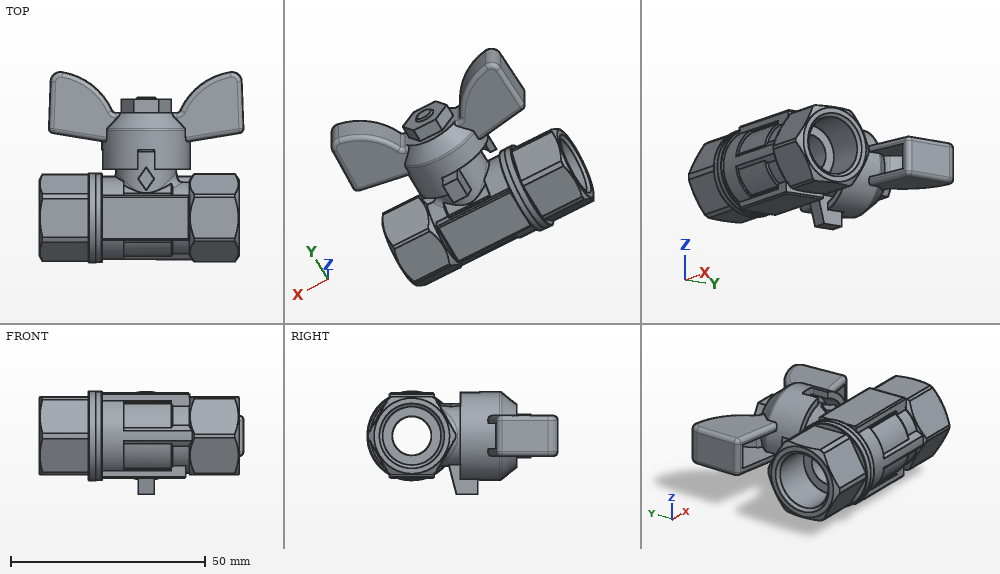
import cadquery as cq
import math

body_left = -27.45
body_right = 23.95
collar_left = -14.85
collar_split = -13.0
collar_right = -11.35
hex_right_start = 11.0

hex_flats = 20.05
left_corner_flats = 22.35
right_corner_flats = 22.7
hex_face_radius = 9.7
left_chamfer = 0.8
right_chamfer = 1.15
right_root_chamfer = 1.35

collar_radius = 11.5
right_band_radius = 11.45
collar_edge_chamfer = 0.15

barrel_radius = 10.7
window_radius = 10.1
groove_radius = 9.6
window_left = -5.8
window_right = 6.4
groove_left = 6.8
window_half_height = 8.65
rib_half_width = 1.2
rib_wall_angle = 45.0
rib_end = 12.25

pad_half_width = 5.8
pad_top = 11.1
pad_bottom = -10.9
pad_top_end = 11.2
pad_bottom_end = 10.2
pad_edge_chamfer = 0.4

bore_radius = 5.0
thread_radius = 7.5
thread_mouth_radius = 8.35
thread_depth = 11.55

boss_radius = 7.75
boss_top = 16.95
boss_fillet = 2.1
stop_half_width = 2.1
stop_tip = -15.0
stop_tip_y = 11.45
stop_root_y = 9.55
mark_low = 7.1
mark_high = 13.0
mark_half_width = 2.05
mark_face = 8.3

hub_radius = 11.4
hub_bottom = 12.5
hub_cone_start = 22.85
hub_shoulder_fillet = 0.9
hub_top = 27.05
hub_top_radius = 8.05
skirt_inner_radius = 9.55
skirt_cut_top = 17.5
skirt_slot_half_width = 2.15
skirt_slot_fillet = 0.4

wing_half_thickness = 5.25
wing_wall = 1.95
wing_fillet = 1.25
wing_tip_fillet = 1.3
wing_root_x = -5.25
wing_root_y = 18.7
wing_low_tip = (-25.1, 21.95)
wing_peak = (-24.5, 37.75)
wing_crest = (-15.75, 35.4)
wing_valley_x = -8.5
wing_peak_fillet = 2.6
wing_valley_fillet = 1.05

nut_across_corners = 12.9
nut_top = 30.55
stem_radius = 2.55
stem_top = 31.1
stem_chamfer = 0.45


def x_cylinder(radius, start, end):
    """Solid cylinder on the flow axis."""
    return cq.Workplane("YZ").workplane(offset=start).circle(radius).extrude(end - start)


def y_cylinder(radius, start, end):
    """Solid cylinder on the stem axis."""
    return cq.Workplane("XZ").workplane(offset=-start).circle(radius).extrude(start - end)


def block(x_range, y_range, z_range):
    """Box given by its limits along each axis."""
    sizes = [high - low for low, high in (x_range, y_range, z_range)]
    corner = (x_range[0], y_range[0], z_range[0])
    return cq.Workplane("XY").box(*sizes, centered=False).translate(corner)


def hex_end(face, root, corner_flats, face_chamfer, root_chamfer):
    """Hexagon with flattened corners, its ends trimmed by cones; face is the open end."""
    length = abs(root - face)
    to_corners = 1 / math.cos(math.radians(30))
    base = cq.Workplane("YZ").workplane(offset=min(face, root))
    hexagon = base.polygon(6, hex_flats * to_corners).extrude(length)
    corner_trim = base.transformed(rotate=(0, 0, 30)).polygon(6, corner_flats * to_corners).extrude(length)
    inward = math.copysign(1, root - face)
    rim_radius = corner_flats / 2
    cone_rise = rim_radius - hex_face_radius
    root_radius = rim_radius - (cone_rise if root_chamfer else 0)
    profile = [
        (face, 0),
        (face, hex_face_radius),
        (face + inward * face_chamfer, rim_radius),
        (root - inward * root_chamfer, rim_radius),
        (root, root_radius),
        (root, 0),
    ]
    if not root_chamfer:
        del profile[3]
    envelope = cq.Workplane("XY").polyline(profile).close().revolve(360, (0, 0, 0), (1, 0, 0))
    return hexagon.intersect(corner_trim).intersect(envelope)


def collar():
    """Two bands side by side between the left hexagon and the barrel."""
    left_band = x_cylinder(collar_radius, collar_left, collar_split).faces("<X").chamfer(collar_edge_chamfer)
    right_band = x_cylinder(right_band_radius, collar_split, collar_right).faces(">X").chamfer(collar_edge_chamfer)
    return left_band.union(right_band)


def side_relief():
    """Shallow window and deeper groove around the -Y side, split by the drafted rib."""
    floor = (
        cq.Workplane("XY")
        .moveTo(window_left, window_radius)
        .lineTo(window_right, window_radius)
        .lineTo(groove_left, groove_radius)
        .lineTo(hex_right_start, groove_radius)
        .lineTo(hex_right_start, collar_radius)
        .lineTo(window_left, collar_radius)
        .close()
        .revolve(360, (0, 0, 0), (1, 0, 0))
    )
    side = (-collar_radius, -pad_half_width)
    window = block((window_left, groove_left), side, (-window_half_height, window_half_height))
    groove_side = (-collar_radius, 0)
    groove = block((window_right, hex_right_start), groove_side, (-collar_radius, collar_radius))
    return floor.intersect(window.union(groove)).cut(side_rib())


def side_rib():
    """Rib along the -Y side, flush with the barrel, with sloped walls."""
    depth = barrel_radius - boss_radius
    root_half_width = rib_half_width + depth * math.tan(math.radians(rib_wall_angle))
    section = [
        (-barrel_radius, -rib_half_width),
        (-barrel_radius, rib_half_width),
        (-boss_radius, root_half_width),
        (-boss_radius, -root_half_width),
    ]
    start = cq.Workplane("YZ").workplane(offset=window_left)
    bar = start.polyline(section).close().extrude(rib_end - window_left)
    return bar.intersect(x_cylinder(barrel_radius, window_left, rib_end))


def barrel():
    """Middle of the body with the stem boss, side windows, ribs and the two flat pads."""
    shape = x_cylinder(barrel_radius, collar_right, hex_right_start)
    relief = side_relief()
    rib = side_rib()
    shape = shape.cut(relief).cut(relief.mirror("XZ"))
    shape = shape.union(rib).union(rib.mirror("XZ"))
    across = (-pad_half_width, pad_half_width)
    top_pad = block((collar_right, pad_top_end), across, (0, pad_top))
    top_pad = top_pad.faces(">Z").edges("not <X").chamfer(pad_edge_chamfer)
    bottom_pad = block((collar_right, pad_bottom_end), across, (pad_bottom, 0))
    bottom_pad = bottom_pad.faces("<Z").edges("not <X").chamfer(pad_edge_chamfer)
    return shape.union(top_pad).union(bottom_pad).union(stem_boss())


def stem_boss():
    """Round boss for the stem, flared where it meets the inner barrel surface."""
    core = x_cylinder(groove_radius, collar_right, hex_right_start)
    shape = core.union(y_cylinder(boss_radius, 0, boss_top))
    reach = barrel_radius
    joint = cq.selectors.BoxSelector((-reach, 2.6, -reach), (reach, reach, reach), boundingbox=True)
    return shape.edges(joint).fillet(boss_fillet)


def stop_lug():
    """Stop for the handle, standing off the boss towards -Z."""
    section = [
        (boss_top, 0),
        (boss_top, stop_tip),
        (stop_tip_y, stop_tip),
        (stop_root_y, -boss_radius),
        (stop_root_y, 0),
    ]
    start = cq.Workplane("YZ").workplane(offset=-stop_half_width)
    return start.polyline(section).close().extrude(2 * stop_half_width)


def diamond_mark():
    """Raised rhombus on the +Z side of the boss."""
    middle = (mark_low + mark_high) / 2
    points = [(-mark_half_width, middle), (0, mark_low), (mark_half_width, middle), (0, mark_high)]
    return cq.Workplane("XY").polyline(points).close().extrude(mark_face)


def flow_bore():
    """Through bore with a wider, chamfered threaded socket at each end."""
    mouth = thread_mouth_radius - thread_radius
    profile = [
        (body_left, 0),
        (body_left, thread_mouth_radius),
        (body_left + mouth, thread_radius),
        (body_left + thread_depth, thread_radius),
        (body_left + thread_depth, bore_radius),
        (body_right - thread_depth, bore_radius),
        (body_right - thread_depth, thread_radius),
        (body_right - mouth, thread_radius),
        (body_right, thread_mouth_radius),
        (body_right, 0),
    ]
    return cq.Workplane("XY").polyline(profile).close().revolve(360, (0, 0, 0), (1, 0, 0))


def hub():
    """Coned cap around the stem, hollow at its lower end and cut away for the stop."""
    profile = [
        (0, hub_bottom),
        (hub_radius, hub_bottom),
        (hub_radius, hub_cone_start),
        (hub_top_radius, hub_top),
        (0, hub_top),
    ]
    cap = cq.Workplane("XY").polyline(profile).close().revolve(360, (0, 0, 0), (0, 1, 0))
    shoulder = cap.faces("%CONE").edges("<Y")
    cap = shoulder.fillet(hub_shoulder_fillet)
    cap = cap.cut(y_cylinder(skirt_inner_radius, hub_bottom, skirt_cut_top))
    skirt = (hub_bottom, skirt_cut_top)
    slot_width = (-skirt_slot_half_width, skirt_slot_half_width)
    slot = block(slot_width, skirt, (0, hub_radius)).edges("|Z and >Y").fillet(skirt_slot_fillet)
    swing = block((-hub_radius, skirt_slot_half_width), skirt, (-hub_radius, skirt_slot_half_width))
    return cap.cut(slot).cut(swing)


def wing_outline(root_y, tip):
    """Closed wing outline seen along Z, with its lower edge running from the hub to the tip."""
    return (
        cq.Workplane("XY")
        .moveTo(wing_root_x, root_y)
        .lineTo(*tip)
        .lineTo(*wing_peak)
        .threePointArc(wing_crest, (wing_valley_x, hub_top))
        .lineTo(wing_root_x, hub_top)
        .close()
    )


def wing():
    """Rounded hollow finger wing on the -X side, open along its lower edge."""
    valley = (wing_valley_x, hub_top)
    solid = wing_outline(wing_root_y, wing_low_tip).extrude(wing_half_thickness, both=True)
    corners = ((wing_low_tip, wing_tip_fillet), (wing_peak, wing_peak_fillet), (valley, wing_valley_fillet))
    for corner, radius in corners:
        nearest = cq.selectors.NearestToPointSelector((*corner, 0))
        solid = solid.edges("|Z").edges(nearest).fillet(radius)
    solid = solid.edges("(not |Z) and (not >X)").fillet(wing_fillet)
    low_tip = (wing_low_tip[0], wing_low_tip[1] - 2 * wing_wall)
    hollow_outline = wing_outline(wing_root_y - 2 * wing_wall, low_tip).offset2D(-wing_wall)
    hollow = hollow_outline.extrude(wing_half_thickness - wing_wall, both=True)
    return solid.cut(hollow)


def nut_and_stem():
    """Hexagon nut on top of the hub with the chamfered stem end above it."""
    nut = cq.Workplane("XZ").workplane(offset=-hub_top).polygon(6, nut_across_corners).extrude(hub_top - nut_top)
    stem = y_cylinder(stem_radius, boss_top, stem_top).faces(">Y").chamfer(stem_chamfer)
    return nut.union(stem)


left_wing = wing()
parts = [
    collar(),
    hex_end(body_left, collar_left, left_corner_flats, left_chamfer, 0),
    hex_end(body_right, hex_right_start, right_corner_flats, right_chamfer, right_root_chamfer),
    stop_lug(),
    diamond_mark(),
    hub(),
    left_wing,
    left_wing.mirror("YZ"),
    nut_and_stem(),
]
result = barrel()
for part in parts:
    result = result.union(part)
result = result.cut(flow_bore())